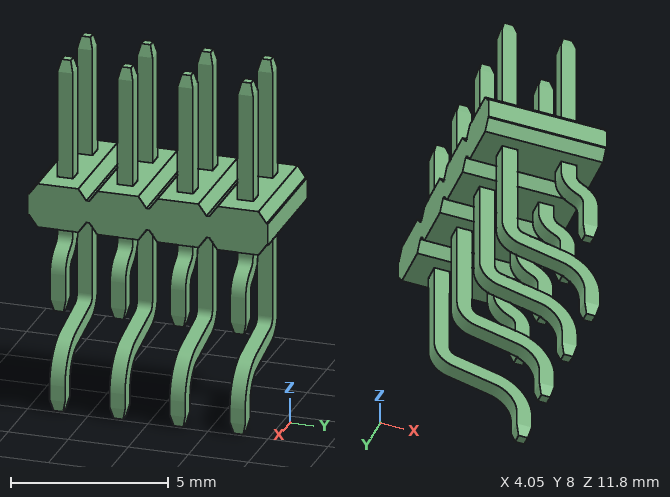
import cadquery as cq
import math

rows_along_y = 4
body_length = 8.0
pitch = body_length / rows_along_y
body_width = 2 * pitch
overall_width = 4.05

total_height = 11.75
upper_pin_length = 4.01
body_height = 1.49
body_top = total_height - upper_pin_length
body_bottom = body_top - body_height

edge_ledge = 0.05
chamfer_width = 0.27
chamfer_height = 0.38
chamfer_foot_z = body_top - chamfer_height

pin_size = 0.52
tip_size = 0.32
tip_length = 0.4

outer_pin_x = pitch / 2
outer_tail_x = overall_width - pin_size / 2
outer_bend_z = 2.97
outer_tip_z = 0.0
outer_turn = 77.0
outer_upper_radius = 0.55
outer_lower_radius = 1.22

inner_pin_x = outer_pin_x + pitch
inner_tail_x = body_width - pin_size / 2
inner_bend_z = 5.8
inner_tip_z = 3.41
inner_turn = 60.0
inner_upper_radius = 0.59
inner_lower_radius = 0.55


def make_body():
    """Bar along Y made of chamfered segments, extruded across X."""
    upper_outline = [(0, chamfer_foot_z)]
    for segment in range(rows_along_y):
        start = segment * pitch + edge_ledge
        end = (segment + 1) * pitch - edge_ledge
        upper_outline += [
            (start, chamfer_foot_z),
            (start + chamfer_width, body_top),
            (end - chamfer_width, body_top),
            (end, chamfer_foot_z),
        ]
    upper_outline.append((body_length, chamfer_foot_z))
    lower_outline = [(y, body_top + body_bottom - z) for y, z in reversed(upper_outline)]
    return cq.Workplane("YZ").polyline(upper_outline + lower_outline).close().extrude(body_width)


def make_tip(x, shoulder_z, direction):
    """Taper from the full pin section to the small end face, up (+1) or down (-1)."""
    return (
        cq.Workplane("XY", origin=(x, 0, shoulder_z))
        .rect(pin_size, pin_size)
        .workplane(offset=direction * tip_length)
        .rect(tip_size, tip_size)
        .loft(ruled=True)
    )


def make_pin(pin_x, tail_x, bend_z, tip_z, turn, upper_radius, lower_radius):
    """Pin centred on Y = 0: straight shank, two opposite bends, straight tail."""
    angle = math.radians(turn)
    half_angle = angle / 2

    def on_arc(radius, swept):
        """Sideways and downward travel along a bend that starts vertical."""
        return radius * (1 - math.cos(swept)), radius * math.sin(swept)

    run_x = tail_x - pin_x - on_arc(upper_radius + lower_radius, angle)[0]
    run_z = run_x / math.tan(angle)

    upper_mid = on_arc(upper_radius, half_angle)
    upper_end = on_arc(upper_radius, angle)
    lower_mid = on_arc(lower_radius, half_angle)
    lower_end = on_arc(lower_radius, angle)
    tail_z = bend_z - upper_end[1] - run_z - lower_end[1]
    top_shoulder = total_height - tip_length
    bottom_shoulder = tip_z + tip_length

    path = (
        cq.Workplane("XZ")
        .moveTo(pin_x, top_shoulder)
        .lineTo(pin_x, bend_z)
        .threePointArc(
            (pin_x + upper_mid[0], bend_z - upper_mid[1]),
            (pin_x + upper_end[0], bend_z - upper_end[1]),
        )
        .line(run_x, -run_z)
        .threePointArc((tail_x - lower_mid[0], tail_z + lower_mid[1]), (tail_x, tail_z))
        .lineTo(tail_x, bottom_shoulder)
    )
    section = cq.Workplane("XY", origin=(pin_x, 0, top_shoulder)).rect(pin_size, pin_size)
    wire = section.sweep(path)
    return wire.union(make_tip(pin_x, top_shoulder, 1)).union(make_tip(tail_x, bottom_shoulder, -1))


outer_pin = make_pin(
    outer_pin_x, outer_tail_x, outer_bend_z, outer_tip_z, outer_turn, outer_upper_radius, outer_lower_radius
)
inner_pin = make_pin(
    inner_pin_x, inner_tail_x, inner_bend_z, inner_tip_z, inner_turn, inner_upper_radius, inner_lower_radius
)

result = make_body()
for row in range(rows_along_y):
    row_y = (row + 0.5) * pitch
    result = result.union(outer_pin.translate((0, row_y, 0)))
    result = result.union(inner_pin.translate((0, row_y, 0)))